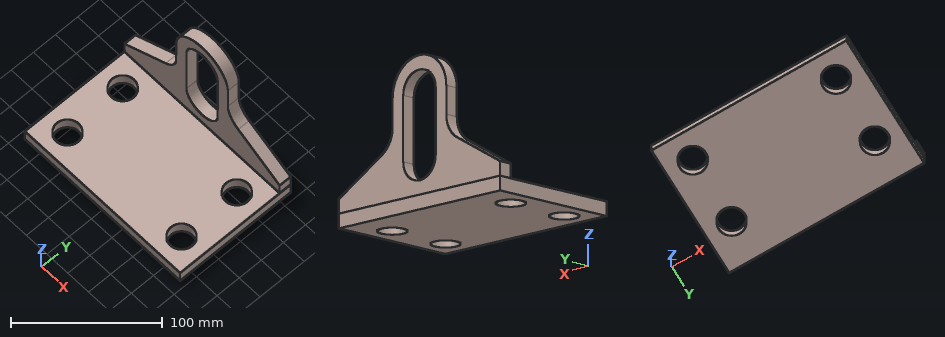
import cadquery as cq
import math

length = 150.0
depth = 100.0
height = 105.0
thickness = 10.0

hole_diameter = 20.0
hole_edge_distance = 20.0
hole_row_spacing = 50.0

lug_width = 50.0
shoulder_height = 20.0
shoulder_angle = 30.0
shoulder_fillet = 20.0
slot_width = 30.0


def make_base_plate():
    """Flat plate with two rows of through holes."""
    plate = cq.Workplane("XY").box(length, depth, thickness, centered=(True, False, False))
    hole_x = length / 2 - hole_edge_distance
    hole_centers = [
        (side * hole_x, hole_edge_distance + row * hole_row_spacing)
        for side in (-1, 1)
        for row in (0, 1)
    ]
    holes = cq.Workplane("XY").pushPoints(hole_centers).circle(hole_diameter / 2).extrude(thickness)
    return plate.cut(holes)


def make_upright():
    """Slotted lug with sloping shoulders, standing on the rear edge of the plate."""
    half_length = length / 2
    lug_radius = lug_width / 2
    lug_center_z = height - lug_radius
    shoulder_rise = (half_length - lug_radius) * math.tan(math.radians(shoulder_angle))
    corner_z = shoulder_height + shoulder_rise

    rear_plane = cq.Workplane("XZ", origin=(0, depth, 0))
    upright = (
        rear_plane
        .moveTo(-half_length, thickness)
        .lineTo(half_length, thickness)
        .lineTo(half_length, shoulder_height)
        .lineTo(lug_radius, corner_z)
        .lineTo(lug_radius, lug_center_z)
        .threePointArc((0, height), (-lug_radius, lug_center_z))
        .lineTo(-lug_radius, corner_z)
        .lineTo(-half_length, shoulder_height)
        .close()
        .extrude(thickness)
    )

    corner_y = depth - thickness / 2
    for side in (-1, 1):
        corner = cq.selectors.NearestToPointSelector((side * lug_radius, corner_y, corner_z))
        upright = upright.edges("|Y").edges(corner).fillet(shoulder_fillet)

    slot_top = height - (lug_width - slot_width) / 2
    slot = (
        rear_plane
        .center(0, (shoulder_height + slot_top) / 2)
        .slot2D(slot_top - shoulder_height, slot_width, 90)
        .extrude(thickness)
    )
    return upright.cut(slot)


base_plate = make_base_plate()
upright = make_upright()

result = cq.Compound.makeCompound([base_plate.solids().val(), upright.solids().val()])